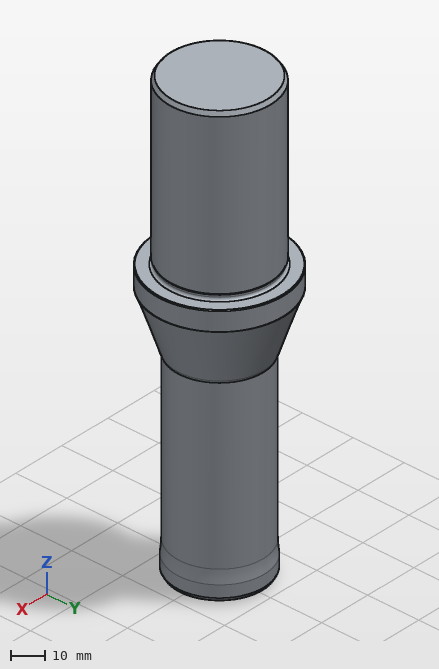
import cadquery as cq
import math

total_height = 172.0
flange_top_z = 106.8
flange_bottom_z = 99.2
cone_bottom_z = 77.5
stem_top_z = 76.5
collar_flare_z = 12.2
collar_top_z = 7.0
collar_bottom_z = 2.4
dome_edge_z = 1.0

flange_radius = 25.03
flange_chamfer = 0.3
flange_ledge = 0.2
cone_top_radius = flange_radius - flange_ledge
collar_radius = 17.45
stem_radius = 17.0
dome_edge_radius = 16.7

shank_radius = 20.0
shank_chamfer_width = 1.0
shank_chamfer_height = 1.5
neck_radius = 19.5
neck_height = 1.7
neck_taper_height = 0.7
foot_fillet = 1.0


def make_stepped_body():
    """Flange, cone, slim stem and domed end collar, revolved about Z."""
    sphere_radius = (dome_edge_radius**2 + dome_edge_z**2) / (2 * dome_edge_z)
    middle_radius = dome_edge_radius / 2
    dome_middle = (middle_radius, sphere_radius - math.sqrt(sphere_radius**2 - middle_radius**2))
    flare_middle = (
        stem_radius + (collar_radius - stem_radius) / 4,
        (collar_top_z + collar_flare_z) / 2,
    )
    return (
        cq.Workplane("XZ")
        .moveTo(0, 0)
        .threePointArc(dome_middle, (dome_edge_radius, dome_edge_z))
        .lineTo(collar_radius, collar_bottom_z)
        .lineTo(collar_radius, collar_top_z)
        .threePointArc(flare_middle, (stem_radius, collar_flare_z))
        .lineTo(stem_radius, stem_top_z)
        .lineTo(collar_radius, cone_bottom_z)
        .lineTo(cone_top_radius, flange_bottom_z)
        .lineTo(flange_radius, flange_bottom_z)
        .lineTo(flange_radius, flange_top_z - flange_chamfer)
        .lineTo(flange_radius - flange_chamfer, flange_top_z)
        .lineTo(0, flange_top_z)
        .close()
        .revolve(360, (0, 0), (0, 1))
    )


def make_shank():
    """Plain cylinder with a chamfered top, a relieved neck and a filleted foot."""
    neck_top_z = flange_top_z + neck_height
    return (
        cq.Workplane("XZ")
        .moveTo(0, flange_top_z)
        .lineTo(neck_radius + foot_fillet, flange_top_z)
        .radiusArc((neck_radius, flange_top_z + foot_fillet), foot_fillet)
        .lineTo(neck_radius, neck_top_z)
        .lineTo(shank_radius, neck_top_z + neck_taper_height)
        .lineTo(shank_radius, total_height - shank_chamfer_height)
        .lineTo(shank_radius - shank_chamfer_width, total_height)
        .lineTo(0, total_height)
        .close()
        .revolve(360, (0, 0), (0, 1))
    )


stepped_body = make_stepped_body()
shank = make_shank()

result = cq.Compound.makeCompound([stepped_body.val(), shank.val()])